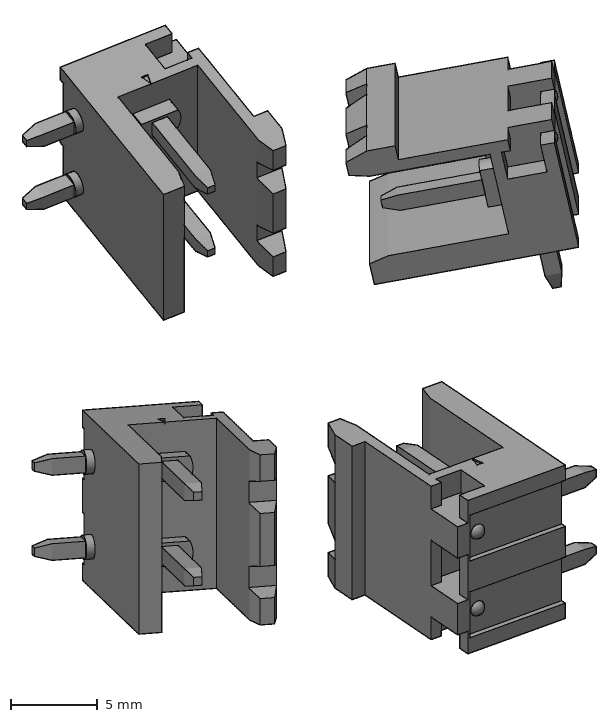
import cadquery as cq


POLES = 2
PITCH = 5.08
HEIGHT = POLES * PITCH
POLE_LEVELS = [PITCH * (pole + 0.5) for pole in range(POLES)]
JOINT_LEVELS = [PITCH * joint for joint in range(POLES + 1)]

LENGTH = 12.0
BACK_THICKNESS = 3.77
BOARD_WALL_TOP = 1.68
ARM_BOTTOM = 6.95
ARM_TOP = 7.68
HOOK_TOP = 8.6
HOOK_START = 9.0
INNER_TAPER_START = 10.83
HOOK_TAPER_START = 10.67
INNER_TAPER_DEPTH = 0.3
HOOK_TAPER_DEPTH = 0.49

NOSE_GAP_MOUTH = 1.92
NOSE_GAP_FLARE = 0.33

CODING_HEIGHT = 3.0
CODING_MOUTH_END = 2.58
CODING_START = 0.8
CODING_END = 3.1
CODING_BOTTOM = 5.17

PANEL_DEPTH = 0.35
PANEL_TOP = 6.8
PANEL_HEIGHT = 3.04
DOME_RADIUS = 0.5
DOME_Y = 6.0

PIN_WIDTH = 1.0
TIP_WIDTH = 0.5
TIP_LENGTH = 1.0
CONTACT_Y = 3.87
CONTACT_COLLAR_DIAMETER = 2.8
CONTACT_COLLAR_THICKNESS = 1.4
CONTACT_COLLAR_LENGTH = 1.0
CONTACT_SHAFT_LENGTH = 5.0
SOLDER_X = 2.0
SOLDER_COLLAR_DIAMETER = 1.42
SOLDER_COLLAR_LENGTH = 0.5
SOLDER_SHAFT_LENGTH = 2.0

ARROW_LENGTH = 0.76
ARROW_WIDTH = 0.42
ARROW_DEPTH = 0.1


def block(x_range, y_range, z_range):
    """Box between two limits along each axis."""
    x0, x1 = x_range
    y0, y1 = y_range
    z0, z1 = z_range
    return cq.Workplane("XY").box(x1 - x0, y1 - y0, z1 - z0, centered=False).translate((x0, y0, z0))


def housing():
    """C-shaped profile with a board-side wall and a hooked latch arm."""
    outline = [
        (0, 0),
        (LENGTH, 0),
        (LENGTH, BOARD_WALL_TOP - INNER_TAPER_DEPTH),
        (INNER_TAPER_START, BOARD_WALL_TOP),
        (BACK_THICKNESS, BOARD_WALL_TOP),
        (BACK_THICKNESS, ARM_BOTTOM),
        (INNER_TAPER_START, ARM_BOTTOM),
        (LENGTH, ARM_BOTTOM + INNER_TAPER_DEPTH),
        (LENGTH, HOOK_TOP - HOOK_TAPER_DEPTH),
        (HOOK_TAPER_START, HOOK_TOP),
        (HOOK_START, HOOK_TOP),
        (HOOK_START, ARM_TOP),
        (0, ARM_TOP),
    ]
    return cq.Workplane("XY").polyline(outline).close().extrude(HEIGHT)


def nose_gap(level):
    """Gap through the latch arm's nose, widening towards the open tip."""
    mouth_half = NOSE_GAP_MOUTH / 2
    root_half = mouth_half - NOSE_GAP_FLARE
    outline = [
        (LENGTH, level + mouth_half),
        (LENGTH, level - mouth_half),
        (HOOK_TAPER_START, level - root_half),
        (HOOK_TAPER_START, level + root_half),
    ]
    sketch = cq.Workplane("XZ", origin=(0, HOOK_TOP, 0)).polyline(outline).close()
    return sketch.extrude(HOOK_TOP - ARM_BOTTOM)


def coding_pocket(level):
    """T-shaped pocket: a mouth through the top and back faces into a wider chamber."""
    z_range = (level - CODING_HEIGHT / 2, level + CODING_HEIGHT / 2)
    mouth = block((0, CODING_MOUTH_END), (ARM_BOTTOM, ARM_TOP), z_range)
    chamber = block((CODING_START, CODING_END), (CODING_BOTTOM, ARM_BOTTOM), z_range)
    return mouth.union(chamber)


def panel(level):
    """Shallow recess in the back face, open at the board side."""
    z_range = (level - PANEL_HEIGHT / 2, level + PANEL_HEIGHT / 2)
    return block((0, PANEL_DEPTH), (0, PANEL_TOP), z_range)


def dome(level):
    """Round bump on the recessed panel, level with the back face."""
    return cq.Workplane("XY").sphere(DOME_RADIUS).translate((DOME_RADIUS, DOME_Y, level))


def square_pin(plane, shaft_length):
    """Square shaft with a pyramidal tip, rising from the given plane."""
    shaft = cq.Workplane(plane).rect(PIN_WIDTH, PIN_WIDTH).extrude(shaft_length)
    tip = (
        cq.Workplane(plane)
        .workplane(offset=shaft_length)
        .rect(PIN_WIDTH, PIN_WIDTH)
        .workplane(offset=TIP_LENGTH)
        .rect(TIP_WIDTH, TIP_WIDTH)
        .loft(ruled=True)
    )
    return shaft.union(tip)


def contact_pin(level):
    """Mating pin along +X on a round collar with two flats facing +Z and -Z."""
    pin = square_pin("YZ", CONTACT_COLLAR_LENGTH + CONTACT_SHAFT_LENGTH)
    collar = cq.Workplane("YZ").circle(CONTACT_COLLAR_DIAMETER / 2).extrude(CONTACT_COLLAR_LENGTH)
    flats = (
        cq.Workplane("YZ")
        .rect(CONTACT_COLLAR_DIAMETER, CONTACT_COLLAR_THICKNESS)
        .extrude(CONTACT_COLLAR_LENGTH)
    )
    return pin.union(collar.intersect(flats)).translate((BACK_THICKNESS, CONTACT_Y, level))


def solder_pin(level):
    """Board pin along -Y on a round collar."""
    pin = square_pin("XZ", SOLDER_COLLAR_LENGTH + SOLDER_SHAFT_LENGTH)
    collar = cq.Workplane("XZ").circle(SOLDER_COLLAR_DIAMETER / 2).extrude(SOLDER_COLLAR_LENGTH)
    return pin.union(collar).translate((SOLDER_X, 0, level))


def arrow():
    """Triangle in the +Z face pointing at the first contact."""
    tail_x = BACK_THICKNESS - ARROW_LENGTH
    outline = [
        (BACK_THICKNESS, CONTACT_Y),
        (tail_x, CONTACT_Y + ARROW_WIDTH / 2),
        (tail_x, CONTACT_Y - ARROW_WIDTH / 2),
    ]
    return cq.Workplane("XY", origin=(0, 0, HEIGHT)).polyline(outline).close().extrude(-ARROW_DEPTH)


result = housing().cut(arrow())

for joint_level in JOINT_LEVELS:
    result = result.cut(coding_pocket(joint_level))

for pole_level in POLE_LEVELS:
    result = result.cut(nose_gap(pole_level))
    result = result.cut(panel(pole_level)).union(dome(pole_level))
    result = result.union(contact_pin(pole_level)).union(solder_pin(pole_level))